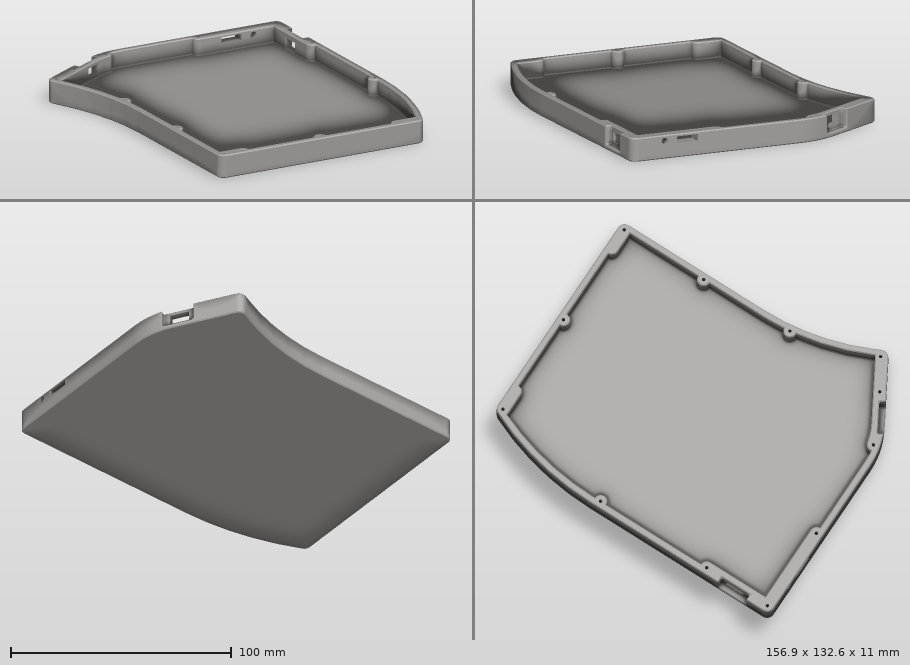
import cadquery as cq
import math

width = 156.91
front_edge_y = -119.0
height = 11.0
floor_thickness = 3.0
wall = 3.0
thick_wall = 6.0
corner_radius = 3.5
edge_break = 0.5

back_arc_start_x = 97.0
back_arc_radius = 140.0
front_arc_start_x = 80.6
front_arc_radius = 120.6
front_arc_angle = math.radians(25.53)
left_arc_start_y = -84.0
left_arc_radius = 40.0
slant_angle = math.radians(30)

screw_diameter = 1.6
screw_depth = height - floor_thickness
boss_radius = 3.0
boss_inset = 3.0
back_boss_x = 93.2
back_block_end_x = 35.8
left_block_end_y = -43.7
right_boss_y = -65.5
right_block_gap = 40.2
front_boss_x = 111.0
front_arc_boss_x = 65.0
left_boss_angle = math.radians(13.6)
slant_screw_distance = 25.4
back_right_screw_y = -15.2
front_left_screw = (24.0, -129.3)

port_width = 15.2
port_depth = 3.0
port_floor_z = 2.1
port_edge = 0.7
port_opening_width = 9.2
port_opening_height = 4.7
slant_opening_low_z = 4.5
back_opening_low_z = 3.6
back_opening_offset = 0.7
back_port_x = 20.1
slant_port_distance = 13.2
cutter_margin = 1.0

side_opening_size = 3.0
side_opening_z = 8.3
button_y = -16.6
switch_start_y = -22.7
switch_end_y = -33.2


def along_left(angle, inset):
    """Point on the lower-left arc, at an angle past its start and inset from the outer face."""
    reach = left_arc_radius - inset
    return (left_arc_radius - reach * math.cos(angle), left_arc_start_y - reach * math.sin(angle))


def along_slant(distance, inset):
    """Point along the slanted edge, measured from where its line meets the left edge line."""
    vertex_y = left_arc_start_y - left_arc_radius * math.tan(slant_angle / 2)
    return (
        distance * math.sin(slant_angle) + inset * math.cos(slant_angle),
        vertex_y - distance * math.cos(slant_angle) + inset * math.sin(slant_angle),
    )


def on_front_arc(angle, inset=0):
    """Point on the concave front arc, at an angle before its right-hand end."""
    reach = front_arc_radius + inset
    return (
        front_arc_start_x - reach * math.sin(angle),
        front_edge_y - front_arc_radius + reach * math.cos(angle),
    )


def on_back_arc(x):
    """Point on the convex back arc at a given x."""
    return (x, -back_arc_radius + math.sqrt(back_arc_radius**2 - (x - back_arc_start_x) ** 2))


def front_left_corner():
    """Sharp corner between the slanted edge and the straight end of the front edge."""
    x0, y0 = along_slant(0, 0)
    x1, y1 = on_front_arc(front_arc_angle)
    slope = math.tan(front_arc_angle)
    distance = (y0 - y1 + slope * (x1 - x0)) / (math.cos(slant_angle) + slope * math.sin(slant_angle))
    return along_slant(distance, 0)


def outline():
    """Closed outline of the case with sharp corners."""
    return (
        cq.Workplane("XY")
        .moveTo(0, 0)
        .lineTo(back_arc_start_x, 0)
        .threePointArc(on_back_arc((back_arc_start_x + width) / 2), on_back_arc(width))
        .lineTo(width, front_edge_y)
        .lineTo(front_arc_start_x, front_edge_y)
        .threePointArc(on_front_arc(front_arc_angle / 2), on_front_arc(front_arc_angle))
        .lineTo(*front_left_corner())
        .lineTo(*along_left(slant_angle, 0))
        .threePointArc(along_left(slant_angle / 2, 0), (0, left_arc_start_y))
        .close()
    )


def bar(x0, x1, y0, y1):
    """Upright block between two x and two y values, from the floor to the rim."""
    return (
        cq.Workplane("XY", origin=(0, 0, floor_thickness))
        .moveTo(x0, y0)
        .lineTo(x1, y0)
        .lineTo(x1, y1)
        .lineTo(x0, y1)
        .close()
        .extrude(height - floor_thickness)
    )


def slant_block():
    """Thickened wall that follows the lower-left arc and the slanted edge."""
    far = math.dist(front_left_corner(), along_slant(0, 0))
    middle = (left_boss_angle + slant_angle) / 2
    return (
        cq.Workplane("XY", origin=(0, 0, floor_thickness))
        .moveTo(*along_left(left_boss_angle, 0))
        .threePointArc(along_left(middle, 0), along_left(slant_angle, 0))
        .lineTo(*along_slant(far, 0))
        .lineTo(*along_slant(far, thick_wall))
        .lineTo(*along_left(slant_angle, thick_wall))
        .threePointArc(along_left(middle, thick_wall), along_left(left_boss_angle, thick_wall))
        .close()
        .extrude(height - floor_thickness)
    )


front_boss_angle = math.asin((front_arc_start_x - front_arc_boss_x) / (front_arc_radius + boss_inset))
back_right_block_y = right_boss_y + right_block_gap
front_right_block_y = right_boss_y - right_block_gap
right_boss_x = width - boss_inset

boss_screws = [
    (back_block_end_x, -boss_inset),
    (boss_inset, left_block_end_y),
    (back_boss_x, -boss_inset),
    (right_boss_x, right_boss_y),
    (front_boss_x, front_edge_y + boss_inset),
    on_front_arc(front_boss_angle, boss_inset),
    along_left(left_boss_angle, boss_inset),
]
wall_screws = [
    (boss_inset, -boss_inset),
    (right_boss_x, back_right_screw_y),
    (right_boss_x, front_edge_y + boss_inset),
    along_slant(slant_screw_distance, boss_inset),
    front_left_screw,
]
plain_rounds = [(right_boss_x, back_right_block_y), (right_boss_x, front_right_block_y)]


def inner_space():
    """Upright space inside the walls, around the thick walls and the bosses."""
    depth = height - floor_thickness
    space = outline().offset2D(-wall, "intersection").extrude(depth).translate((0, 0, floor_thickness))
    bosses = (
        cq.Workplane("XY", origin=(0, 0, floor_thickness))
        .pushPoints(boss_screws + plain_rounds)
        .circle(boss_radius)
        .extrude(depth)
    )
    return (
        space.cut(bosses)
        .cut(bar(0, back_block_end_x, -thick_wall, 0))
        .cut(bar(0, thick_wall, left_block_end_y, 0))
        .cut(bar(width - thick_wall, width, back_right_block_y, 0))
        .cut(bar(width - thick_wall, width, front_edge_y, front_right_block_y))
        .cut(slant_block())
    )


def cavity():
    """Inner space with sloped edges: narrower at the floor and wider at the rim."""
    space = inner_space().faces("<Z").edges().chamfer(edge_break)
    rim = space.faces(">Z").wires().toPending().offset2D(edge_break)
    return rim.extrude(-edge_break, taper=45)


def case():
    """Hollow case with rounded corners and chamfered outer edges."""
    body = outline().extrude(height)
    for x, y in [(0, 0), (width, front_edge_y), on_back_arc(width), front_left_corner()]:
        near = cq.selectors.BoxSelector((x - 1, y - 1, 0), (x + 1, y + 1, height))
        body = body.edges("|Z").edges(near).fillet(corner_radius)
    body = body.faces("<Z or >Z").edges().chamfer(edge_break)
    return body.cut(cavity())


def port(opening_offset, opening_low_z):
    """Cutter for a port in a wall whose outer face is y = 0 and whose inside lies at -y."""
    half = port_width / 2
    top_z = height + cutter_margin
    recess = (
        cq.Workplane("XY")
        .box(port_width, port_depth, top_z - port_floor_z, centered=(True, False, False))
        .translate((0, -port_depth, port_floor_z))
        .edges("|Y and <Z or |X and <Y and <Z or |Z and <Y")
        .chamfer(port_edge)
    )
    face_flare = (
        cq.Workplane("XZ")
        .moveTo(-half, top_z)
        .lineTo(-half, port_floor_z + edge_break)
        .lineTo(-half + edge_break, port_floor_z)
        .lineTo(half - edge_break, port_floor_z)
        .lineTo(half, port_floor_z + edge_break)
        .lineTo(half, top_z)
        .close()
        .offset2D(edge_break, "intersection")
        .extrude(edge_break, taper=45)
    )
    rim_flare = (
        cq.Workplane("XY", origin=(0, 0, height))
        .rect(port_width + 2 * edge_break, 2 * (port_depth + edge_break))
        .extrude(-edge_break, taper=45)
    )
    opening = (
        cq.Workplane("XY")
        .box(port_opening_width, 2 * thick_wall, port_opening_height, centered=(True, True, False))
        .translate((opening_offset, -thick_wall, opening_low_z))
    )
    clearance_low_z = port_floor_z - edge_break
    clearance = (
        cq.Workplane("XY")
        .box(
            port_width + 2 * edge_break,
            2 * cutter_margin,
            top_z - clearance_low_z,
            centered=(True, False, False),
        )
        .translate((0, 0, clearance_low_z))
    )
    return recess.union(face_flare).union(rim_flare).union(opening).union(clearance)


def side_openings():
    """Cutters for the round button hole and the switch slot in the left wall."""
    button = (
        cq.Workplane("YZ")
        .center(button_y, side_opening_z)
        .circle(side_opening_size / 2)
        .extrude(2 * thick_wall)
    )
    switch = (
        cq.Workplane("YZ")
        .center((switch_start_y + switch_end_y) / 2, side_opening_z)
        .rect(switch_start_y - switch_end_y, side_opening_size)
        .extrude(2 * thick_wall)
    )
    return button.union(switch)


def screw_holes():
    """Blind screw holes from the rim down to the level of the floor."""
    return (
        cq.Workplane("XY", origin=(0, 0, height - screw_depth))
        .pushPoints(boss_screws + wall_screws)
        .circle(screw_diameter / 2)
        .extrude(screw_depth)
    )


back_port = port(back_opening_offset, back_opening_low_z).translate((back_port_x, 0, 0))
slant_port = (
    port(0, slant_opening_low_z)
    .rotate((0, 0, 0), (0, 0, 1), 90 + math.degrees(slant_angle))
    .translate((*along_slant(slant_port_distance, 0), 0))
)

result = case().cut(back_port).cut(slant_port).cut(side_openings()).cut(screw_holes())